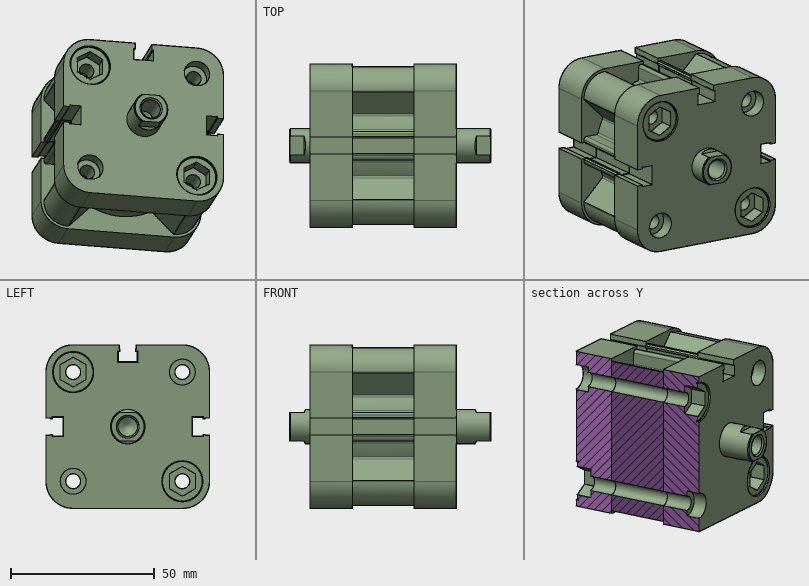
import cadquery as cq
import math


ROD_LENGTH = 70.0
CAP_THICKNESS = 14.8
TUBE_LENGTH = 21.4
ROD_PROJECTION = 7.0

CAP_START = ROD_PROJECTION - ROD_LENGTH / 2
TUBE_START = CAP_START + CAP_THICKNESS
TUBE_END = TUBE_START + TUBE_LENGTH
TUBE_MIDDLE = (TUBE_START + TUBE_END) / 2

CAP_SIZE = 57.0
CAP_CORNER_RADIUS = 9.5
TUBE_INSET = 1.0
TUBE_SIZE = CAP_SIZE - 2 * TUBE_INSET
TUBE_TOP = TUBE_SIZE / 2
TUBE_CORNER_RADIUS = CAP_CORNER_RADIUS - TUBE_INSET

CORNER_OFFSET = CAP_SIZE / 2 - CAP_CORNER_RADIUS
CORNER_BORE_DIAMETER = 5.1
SOCKET_WIDTH = 9.0
COUNTERBORE_DEPTH = 5.0
HEXAGON_DEPTH = 6.0
SCREW_RECESS_DIAMETER = 14.3
SCREW_RECESS_DEPTH = 0.5
SCREW_HEAD_DIAMETER = 13.8
SCREW_GROOVE_DEPTH = 1.0

SLOT_SIDES = (0, 90, -90)
PLAIN_SIDE = 180
CAP_MOUTH_WIDTH = 5.9
CAP_SLOT_WIDTH = 7.0
CAP_LIP_DEPTH = 2.1
CAP_SLOT_DEPTH = 6.1
TUBE_MOUTH_WIDTH = 5.4
TUBE_SLOT_WIDTH = 6.5
TUBE_LIP_DEPTH = 1.3
TUBE_SLOT_DEPTH = 4.9
TUBE_MOUTH_CHAMFER = 0.55

BARREL_RADIUS = 22.4
VALLEY_HALF_WIDTH = 18.7
VALLEY_TOOL_DEPTH = 12.0
VALLEY_FILLET = 0.8
RAIL_WIDTH = 10.0
RAIL_SHOULDER_RADIUS = 1.0

ROD_DIAMETER = 12.0
ROD_CHAMFER = 0.3
FLAT_WIDTH = 10.0
FLAT_LENGTH = 5.0
FLAT_END_SLOPE = 0.5
THREAD_HOLE_DIAMETER = 6.8
THREAD_HOLE_DEPTH = 12.0
THREAD_MOUTH_DIAMETER = 7.9
DRILL_POINT_ANGLE = 118.0


def section(x):
    """Workplane across the rod axis: local x is Y, local y is Z, extruding toward +X."""
    return cq.Workplane("YZ", origin=(x, 0, 0))


def turned(shape, angle):
    """Turn a shape about the rod axis."""
    return shape.rotate((0, 0, 0), (1, 0, 0), angle)


def rounded_block(start, length, size, corner_radius):
    return section(start).rect(size, size).extrude(length).edges("|X").fillet(corner_radius)


def stepped_slot(start, length, top, mouth_width, slot_width, lip_depth, slot_depth):
    """Slot opening to +Z: a narrow mouth between two lips, above a wider channel."""
    mouth = section(start).center(0, top - lip_depth / 2).rect(mouth_width, lip_depth).extrude(length)
    channel_height = slot_depth - lip_depth
    channel_middle = top - lip_depth - channel_height / 2
    channel = section(start).center(0, channel_middle).rect(slot_width, channel_height).extrude(length)
    return mouth.union(channel)


def cut_corner_bores(body, start, length):
    spacing = 2 * CORNER_OFFSET
    bores = section(start).rect(spacing, spacing, forConstruction=True).vertices()
    return body.cut(bores.circle(CORNER_BORE_DIAMETER / 2).extrude(length))


def cut_rod_hole(body, start, length):
    return body.cut(section(start).circle(ROD_DIAMETER / 2).extrude(length))



def make_cap():
    """Cap at the -X end, with its outer face toward -X."""
    cap = rounded_block(CAP_START, CAP_THICKNESS, CAP_SIZE, CAP_CORNER_RADIUS)
    slot = stepped_slot(
        CAP_START, CAP_THICKNESS, CAP_SIZE / 2,
        CAP_MOUTH_WIDTH, CAP_SLOT_WIDTH, CAP_LIP_DEPTH, CAP_SLOT_DEPTH,
    )
    for angle in SLOT_SIDES:
        cap = cap.cut(turned(slot, angle))
    cap = cut_corner_bores(cap, CAP_START, CAP_THICKNESS)
    cap = cut_rod_hole(cap, CAP_START, CAP_THICKNESS)

    outer_face = section(CAP_START)
    screw_places = [(CORNER_OFFSET, CORNER_OFFSET), (-CORNER_OFFSET, -CORNER_OFFSET)]
    recess_radius = SCREW_RECESS_DIAMETER / 2
    recesses = outer_face.pushPoints(screw_places).circle(recess_radius).extrude(SCREW_RECESS_DEPTH)
    grooves = (
        outer_face.pushPoints(screw_places)
        .circle(recess_radius).circle(SCREW_HEAD_DIAMETER / 2)
        .extrude(SCREW_GROOVE_DEPTH)
    )
    hexagon_diameter = SOCKET_WIDTH / math.cos(math.radians(30))
    for y, z in screw_places:
        hexagon = section(CAP_START).polygon(6, hexagon_diameter).extrude(HEXAGON_DEPTH)
        cap = cap.cut(turned(hexagon, 90).translate((0, y, z)))
    counterbore_places = [(CORNER_OFFSET, -CORNER_OFFSET), (-CORNER_OFFSET, CORNER_OFFSET)]
    counterbores = (
        outer_face.pushPoints(counterbore_places).circle(SOCKET_WIDTH / 2).extrude(COUNTERBORE_DEPTH)
    )
    return cap.cut(recesses).cut(grooves).cut(counterbores)



def make_valley(with_rail):
    """Tool that clears the +Z side between two corner columns, down to the round barrel."""
    floor_half_width = VALLEY_HALF_WIDTH - VALLEY_TOOL_DEPTH
    floor = TUBE_TOP - VALLEY_TOOL_DEPTH
    valley = (
        section(TUBE_START)
        .polyline([
            (-VALLEY_HALF_WIDTH, TUBE_TOP), (-floor_half_width, floor),
            (floor_half_width, floor), (VALLEY_HALF_WIDTH, TUBE_TOP),
        ])
        .close().extrude(TUBE_LENGTH)
    )
    valley = valley.cut(section(TUBE_START).circle(BARREL_RADIUS).extrude(TUBE_LENGTH))
    if with_rail:
        valley = valley.cut(section(TUBE_START).rect(RAIL_WIDTH, TUBE_SIZE).extrude(TUBE_LENGTH))
    foot_edges = cq.selectors.BoxSelector(
        (TUBE_START, -VALLEY_HALF_WIDTH, floor), (TUBE_END, VALLEY_HALF_WIDTH, BARREL_RADIUS)
    )
    return valley.edges("|X").edges(foot_edges).fillet(VALLEY_FILLET)


def make_rail_slot():
    """Slot in the rail, with a 45 degree chamfer along both edges of its mouth."""
    slot = stepped_slot(
        TUBE_START, TUBE_LENGTH, TUBE_TOP,
        TUBE_MOUTH_WIDTH, TUBE_SLOT_WIDTH, TUBE_LIP_DEPTH, TUBE_SLOT_DEPTH,
    )
    half_mouth = TUBE_MOUTH_WIDTH / 2
    chamfer_bottom = TUBE_TOP - TUBE_MOUTH_CHAMFER
    flare = (
        section(TUBE_START)
        .polyline([
            (-half_mouth - TUBE_MOUTH_CHAMFER, TUBE_TOP), (-half_mouth, chamfer_bottom),
            (half_mouth, chamfer_bottom), (half_mouth + TUBE_MOUTH_CHAMFER, TUBE_TOP),
        ])
        .close().extrude(TUBE_LENGTH)
    )
    return slot.union(flare)


def round_rail_shoulders(tube):
    """Round the outer top edges of every rail."""
    half_rail = RAIL_WIDTH / 2
    shoulders = [(side * half_rail, TUBE_TOP) for side in (-1, 1)]
    shoulders += [(face * TUBE_TOP, side * half_rail) for face in (-1, 1) for side in (-1, 1)]
    for y, z in shoulders:
        shoulder = cq.selectors.NearestToPointSelector((TUBE_MIDDLE, y, z))
        tube = tube.edges("|X").edges(shoulder).fillet(RAIL_SHOULDER_RADIUS)
    return tube


def make_tube():
    tube = rounded_block(TUBE_START, TUBE_LENGTH, TUBE_SIZE, TUBE_CORNER_RADIUS)
    railed_valley = make_valley(with_rail=True)
    rail_slot = make_rail_slot()
    for angle in SLOT_SIDES:
        tube = tube.cut(turned(railed_valley, angle))
        tube = tube.cut(turned(rail_slot, angle))
    tube = tube.cut(turned(make_valley(with_rail=False), PLAIN_SIDE))
    tube = round_rail_shoulders(tube)
    tube = cut_corner_bores(tube, TUBE_START, TUBE_LENGTH)
    return cut_rod_hole(tube, TUBE_START, TUBE_LENGTH)



def make_flat_cutter():
    """Tool for the wrench flat on top of the -X rod end; its end wall leans toward +X."""
    end = -ROD_LENGTH / 2
    floor = FLAT_WIDTH / 2
    height = ROD_DIAMETER / 2
    wall = end + FLAT_LENGTH
    return (
        cq.Workplane("XZ")
        .polyline([
            (end, floor), (wall, floor),
            (wall + FLAT_END_SLOPE * height, floor + height), (end, floor + height),
        ])
        .close().extrude(ROD_DIAMETER / 2, both=True)
    )


def make_thread_hole():
    """Tool for the countersunk blind hole in the -X rod end, with a drill point at its bottom."""
    start = -ROD_LENGTH / 2
    radius = THREAD_HOLE_DIAMETER / 2
    mouth_radius = THREAD_MOUTH_DIAMETER / 2
    bottom = start + THREAD_HOLE_DEPTH
    point_length = radius / math.tan(math.radians(DRILL_POINT_ANGLE / 2))
    return (
        cq.Workplane("XY")
        .polyline([
            (start, 0), (start, mouth_radius), (start + mouth_radius - radius, radius),
            (bottom, radius), (bottom + point_length, 0),
        ])
        .close().revolve(360, (0, 0, 0), (1, 0, 0))
    )


def make_rod():
    rod = section(-ROD_LENGTH / 2).circle(ROD_DIAMETER / 2).extrude(ROD_LENGTH)
    rod = rod.faces("<X or >X").chamfer(ROD_CHAMFER)
    flat_cutter = make_flat_cutter()
    end_cutter = make_thread_hole().union(flat_cutter).union(turned(flat_cutter, 180))
    return rod.cut(end_cutter).cut(end_cutter.mirror("YZ"))



caps = []
for angle in (0, 180):
    caps.append(make_cap().rotate((TUBE_MIDDLE, 0, 0), (TUBE_MIDDLE, 0, 1), angle))
tube = make_tube()
rod = make_rod()

result = cq.Compound.makeCompound([*[cap.val() for cap in caps], tube.val(), rod.val()])